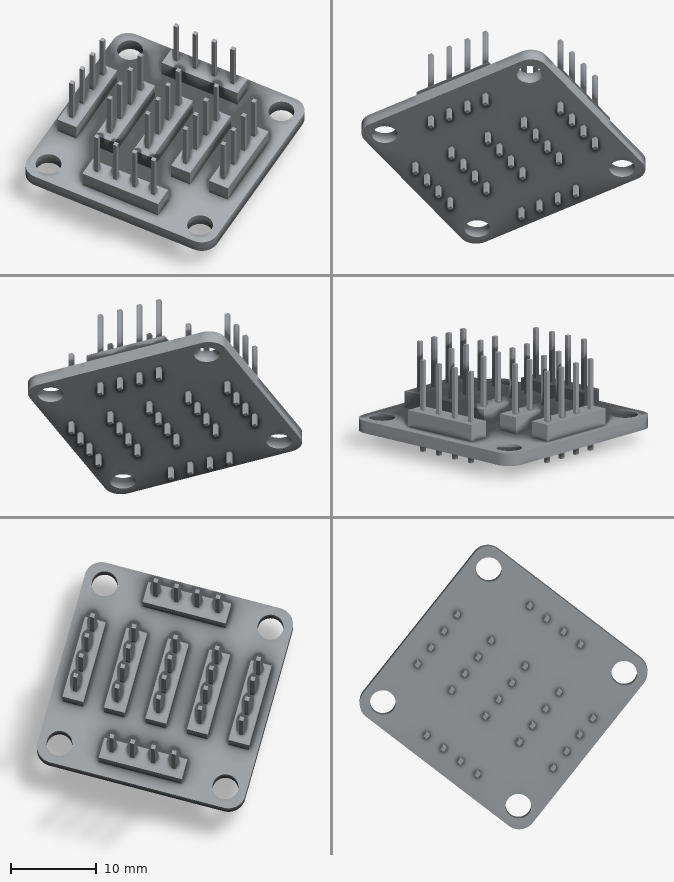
import cadquery as cq

board_side = 25.0
board_thickness = 1.5
corner_radius = 2.0
mount_hole_diameter = 3.0
mount_hole_spacing = 20.0

pins_per_header = 4
pin_pitch = 2.5
pin_width = 0.5
pin_rise = 8.0
pin_drop = 1.5
header_length = pins_per_header * pin_pitch
header_width = pin_pitch
header_height = 2.0

column_count = 5
column_pitch = 5.0
column_shift = -0.25
row_offset = 9.75


def make_board():
    """Rounded square board, bottom face at Z = 0, with four mounting holes."""
    return (
        cq.Workplane("XY")
        .rect(board_side, board_side)
        .extrude(board_thickness)
        .edges("|Z")
        .fillet(corner_radius)
        .faces(">Z")
        .workplane()
        .rect(mount_hole_spacing, mount_hole_spacing, forConstruction=True)
        .vertices()
        .hole(mount_hole_diameter)
    )


def make_header():
    """Header running along X, centred on the origin, its pins passing through the board."""
    body = (
        cq.Workplane("XY")
        .workplane(offset=board_thickness)
        .rect(header_length, header_width)
        .extrude(header_height)
    )
    pins = (
        cq.Workplane("XY")
        .workplane(offset=-pin_drop)
        .rarray(pin_pitch, pin_pitch, pins_per_header, 1)
        .rect(pin_width, pin_width)
        .extrude(pin_drop + board_thickness + pin_rise)
    )
    return body.union(pins)


result = make_board()
row_header = make_header()
column_header = row_header.rotate((0, 0, 0), (0, 0, 1), 90)

for y in (-row_offset, row_offset):
    result = result.union(row_header.translate((0, y, 0)))

for index in range(column_count):
    x = column_shift + (index - (column_count - 1) / 2) * column_pitch
    result = result.union(column_header.translate((x, 0, 0)))